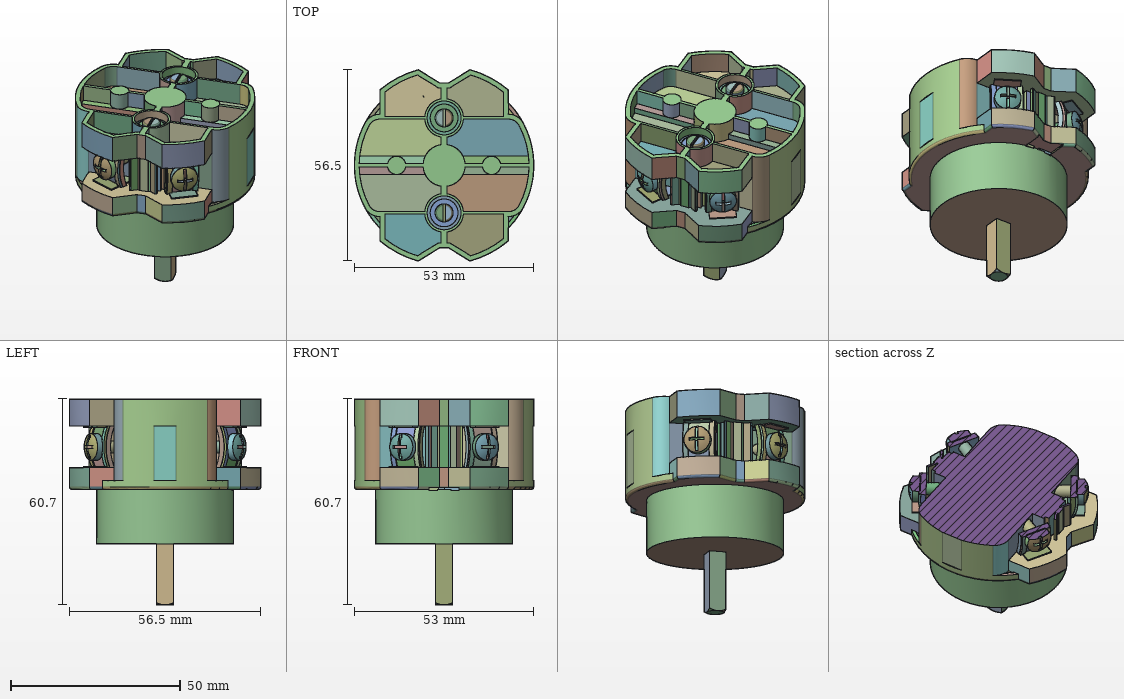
import cadquery as cq
import math

HOUSING_H = 26.7
COLLAR_H = 16.0
SHAFT_L = 18.0
BASE_H = 2.6
CHAMBER_BOTTOM = 6.45
UPPER_LOBE_H = 8.0
CHAMBER_TOP = HOUSING_H - UPPER_LOBE_H
CHAMBER_MID = (CHAMBER_BOTTOM + CHAMBER_TOP) / 2
CHAMBER_H = CHAMBER_TOP - CHAMBER_BOTTOM

BODY_R = 26.5
BODY_HALF_Y = 15.1
BODY_CORNER_R = 5.0
LOBE_R = 29.25
LOBE_HALF_X = 18.95
LOBE_TIP_Y = 28.24
LOBE_TIP_X = math.sqrt(LOBE_R ** 2 - LOBE_TIP_Y ** 2)
NOTCH_HALF_X = 1.33
NOTCH_Y = 24.35
FLARE = (LOBE_TIP_Y - NOTCH_Y) / (LOBE_TIP_X - NOTCH_HALF_X)
BOTTOM_FILLET = 0.75
LEDGE_R = 25.4
LEDGE_DEPTH = 0.3
SIDE_FLAT_X = 26.3

WALL = 1.45
CAVITY_DEPTH = 6.6
CROSS_WALL_OUTER_Y = 14.4
RIB_HALF_X = 0.9
RIB_HALF_Y = 0.5
STEP_HALF_Y = 2.75
STEP_H = 1.8
CENTRE_BOSS_R = 6.2
POST_R = 2.7
POST_X = 14.0
SCREW_BOSS_R = 5.7
SCREW_BOSS_Y = 14.0
SCREW_BORE_R = 5.0
SCREW_BORE_DEPTH = 2.6
WASHER_R = 4.1
WASHER_T = 0.3
HEAD_R = 2.66
HEAD_DROP = 0.8
HEAD_EDGE = 0.4
HEAD_SLOT_W = 0.7
HEAD_SLOT_DEPTH = 0.8

COLLAR_R = 20.25
SHAFT_W = 5.1
SHAFT_TIP_R = 2.6
SHAFT_TIP_H = 0.6

TERMINAL_ANGLES = (60, 120, 240, 300)
TERMINAL_START = 14.0
SHANK_R = 1.8
CAP_BACK = 23.6
CAP_FRONT = 25.3
CAP_APEX = 26.6
CAP_R = 3.95
CAP_DOME_R = (CAP_R ** 2 + (CAP_APEX - CAP_FRONT) ** 2) / (2 * (CAP_APEX - CAP_FRONT))
CAP_SLOT_W = 0.8
LONG_SLOT_FLOOR = 25.6
SHORT_SLOT_FLOOR = 25.3
SHORT_SLOT_L = 4.5
CLAMP_W = 9.4
CLAMP_SAG = 1.3
CLAMP_T = 0.7
CLAMP_GROOVE_W = 6.3
CLAMP_GROOVE_DEPTH = 0.4
BACKING_W = 9.8
BACKING_T = 1.5
PAD_W = 8.0
PAD_END = 25.5
PAD_T = 0.35

DIVIDER_Y = 21.4
DIVIDER_HALF_X = 4.15
DIVIDER_T = 0.8
DIVIDER_TIP_W = 0.45
DIVIDER_SHOULDER_X = 1.95
DIVIDER_PANEL_T = 0.3
DIVIDER_FEET = ((5.45, 19.0), (4.65, 20.3))

LUG_SPANS = ((-4.45, -1.6), (0.1, 4.45))
LUG_Y = 20.15
LUG_ROOT_Y = 15.0
LUG_DROP = 0.3
LUG_RELIEF_H = 0.55
LUG_RELIEF_Y = 19.0


def disc(radius, z0, z1, x=0, y=0):
    return cq.Workplane("XY", origin=(x, y, z0)).circle(radius).extrude(z1 - z0)


def block(x0, x1, y0, y1, z0, z1):
    corner = cq.Workplane("XY", origin=(x0, y0, z0))
    return corner.box(x1 - x0, y1 - y0, z1 - z0, centered=False)


def centred_block(half_x, half_y, z0, z1):
    return block(-half_x, half_x, -half_y, half_y, z0, z1)


def with_opposite(shape):
    """Shape plus its mirror image on the other side of the XZ plane."""
    return shape.union(shape.mirror("XZ"))


def lobes(inset, z0, z1):
    """Four lobes: a wide disc trimmed at the sides and notched front and back."""
    solid = disc(LOBE_R - inset, z0, z1)
    solid = solid.intersect(centred_block(LOBE_HALF_X - inset, LOBE_R, z0, z1))
    return solid.cut(notches(inset, z0, z1))


def notches(inset, z0, z1):
    """V-notches with a flat root; the inset moves each wall squarely into the lobes."""
    root_y = NOTCH_Y - inset
    mouth_y = 2 * LOBE_R
    mouth_x = NOTCH_HALF_X + (mouth_y - NOTCH_Y) / FLARE
    shift = inset * (math.hypot(1, FLARE) - 1) / FLARE
    root_x = NOTCH_HALF_X + shift
    half_outline = [(root_x, root_y), (mouth_x + shift, mouth_y - inset)]
    outline = half_outline + [(-x, y) for x, y in reversed(half_outline)]
    return with_opposite(cq.Workplane("XY", origin=(0, 0, z0)).polyline(outline).close().extrude(z1 - z0))


def body(inset, z0, z1):
    """Round body with flats front and back and rounded corners."""
    solid = disc(BODY_R - inset, z0, z1)
    solid = solid.intersect(centred_block(BODY_R, BODY_HALF_Y - inset, z0, z1))
    return solid.edges("|Z").fillet(BODY_CORNER_R - inset)


def housing():
    lower = disc(BODY_R, 0, BASE_H).cut(notches(0, 0, BASE_H)).union(lobes(0, 0, BASE_H))
    lower = lower.faces("<Z").edges().fillet(BOTTOM_FILLET)
    lower = lower.cut(disc(LEDGE_R, BASE_H - LEDGE_DEPTH, BASE_H))
    solid = lower.union(lobes(0, BASE_H - LEDGE_DEPTH, CHAMBER_BOTTOM))
    solid = solid.union(lobes(0, CHAMBER_TOP, HOUSING_H))
    solid = solid.union(body(0, BASE_H - LEDGE_DEPTH, HOUSING_H))
    for side in (-1, 1):
        x0, x1 = sorted((side * SIDE_FLAT_X, side * BODY_R))
        solid = solid.cut(block(x0, x1, -BODY_HALF_Y, BODY_HALF_Y, BASE_H, CHAMBER_TOP))
    return solid


def top_cavity():
    """Everything removed from the top, leaving ribs and bosses standing."""
    top = HOUSING_H
    floor = top - CAVITY_DEPTH
    outer = lobes(WALL, floor, top)
    outer = outer.cut(centred_block(BODY_R, CROSS_WALL_OUTER_Y, floor, top))
    cavity = body(WALL, floor, top).union(outer)
    cavity = cavity.cut(centred_block(RIB_HALF_X, LOBE_R, floor, top))
    cavity = cavity.cut(centred_block(BODY_R, RIB_HALF_Y, floor, top))
    cavity = cavity.cut(centred_block(BODY_R, STEP_HALF_Y, floor, floor + STEP_H))
    cavity = cavity.cut(disc(CENTRE_BOSS_R, floor, top))
    for side in (-1, 1):
        cavity = cavity.cut(disc(POST_R, floor, top, x=side * POST_X))
        cavity = cavity.cut(disc(SCREW_BOSS_R, floor, top, y=side * SCREW_BOSS_Y))
    return cavity


def assembly_screw_pocket(y):
    """Bore around a slotted screw head that stands on a washer."""
    bore_floor = HOUSING_H - SCREW_BORE_DEPTH
    head_top = HOUSING_H - HEAD_DROP
    head = disc(HEAD_R, bore_floor, head_top, y=y).faces(">Z").edges().fillet(HEAD_EDGE)
    slot = block(-HEAD_SLOT_W / 2, HEAD_SLOT_W / 2, y - HEAD_R, y + HEAD_R,
                 head_top - HEAD_SLOT_DEPTH, head_top)
    washer = disc(WASHER_R, bore_floor, bore_floor + WASHER_T, y=y)
    return disc(SCREW_BORE_R, bore_floor, HOUSING_H, y=y).cut(washer).cut(head.cut(slot))


def curved_plate(front, width, thickness):
    """Plate filling the chamber height, bowed outward at mid height."""
    half_h = CHAMBER_H / 2
    edge = front - CLAMP_SAG
    profile = (
        cq.Workplane("XZ", origin=(0, width / 2, CHAMBER_MID))
        .moveTo(edge, -half_h)
        .threePointArc((front, 0), (edge, half_h))
        .lineTo(edge - thickness, half_h)
        .threePointArc((front - thickness, 0), (edge - thickness, -half_h))
        .close()
    )
    return profile.extrude(width)


def cap_screw():
    """Domed, cross-slotted screw along +X with its shank reaching into the body."""
    cap_seat = CAP_BACK - CLAMP_GROOVE_DEPTH
    dome_half_angle = math.asin(CAP_R / CAP_DOME_R) / 2
    dome_mid_r = CAP_DOME_R * math.sin(dome_half_angle)
    dome_mid_x = CAP_APEX - CAP_DOME_R * (1 - math.cos(dome_half_angle))
    screw = (
        cq.Workplane("XY")
        .moveTo(TERMINAL_START, 0)
        .lineTo(TERMINAL_START, SHANK_R)
        .lineTo(cap_seat, SHANK_R)
        .lineTo(cap_seat, CAP_R)
        .lineTo(CAP_FRONT, CAP_R)
        .threePointArc((dome_mid_x, dome_mid_r), (CAP_APEX, 0))
        .close()
        .revolve(360, (0, 0, 0), (1, 0, 0))
    )
    half_w = CAP_SLOT_W / 2
    slot_top = CAP_FRONT + CAP_R
    screw = screw.cut(block(LONG_SLOT_FLOOR, slot_top, -half_w, half_w, -CAP_R, CAP_R))
    half_l = SHORT_SLOT_L / 2
    screw = screw.cut(block(SHORT_SLOT_FLOOR, slot_top, -half_l, half_l, -half_w, half_w))
    return screw.translate((0, 0, CHAMBER_MID))


def terminal():
    clamp = curved_plate(CAP_BACK, CLAMP_W, CLAMP_T)
    clamp = clamp.cut(curved_plate(CAP_BACK, CLAMP_GROOVE_W, CLAMP_GROOVE_DEPTH))
    unit = cap_screw().union(clamp)
    unit = unit.union(curved_plate(CAP_BACK - CLAMP_T, BACKING_W, BACKING_T))
    for z0 in (CHAMBER_BOTTOM, CHAMBER_TOP - PAD_T):
        unit = unit.union(block(TERMINAL_START, PAD_END, -PAD_W / 2, PAD_W / 2, z0, z0 + PAD_T))
    return unit


def divider():
    """Flared wall in the +Y chamber with stepped feet joining it to the body."""
    wing_x = DIVIDER_HALF_X - DIVIDER_TIP_W
    wing_y = DIVIDER_Y + (wing_x - DIVIDER_SHOULDER_X) * FLARE
    half_outline = [
        (DIVIDER_SHOULDER_X, DIVIDER_Y), (wing_x, wing_y), (DIVIDER_HALF_X, wing_y),
        (DIVIDER_HALF_X, wing_y - DIVIDER_T), (DIVIDER_SHOULDER_X, DIVIDER_Y - DIVIDER_T),
    ]
    outline = half_outline + [(-x, y) for x, y in reversed(half_outline)]
    solid = cq.Workplane("XY", origin=(0, 0, CHAMBER_BOTTOM)).polyline(outline).close().extrude(CHAMBER_H)
    panel = (NOTCH_HALF_X, DIVIDER_Y + DIVIDER_PANEL_T)
    for half_x, outer_y in DIVIDER_FEET + (panel,):
        solid = solid.union(block(-half_x, half_x, TERMINAL_START, outer_y, CHAMBER_BOTTOM, CHAMBER_TOP))
    return solid


def lug_relief():
    """Shallow relief in the underside, open to the front notch."""
    half_x = max(x1 for x0, x1 in LUG_SPANS)
    return block(-half_x, half_x, -LOBE_R, -LUG_RELIEF_Y, 0, LUG_RELIEF_H)


def lugs():
    solid = cq.Workplane("XY")
    for x0, x1 in LUG_SPANS:
        solid = solid.union(block(x0, x1, -LUG_Y, -LUG_ROOT_Y, -LUG_DROP, LUG_RELIEF_H))
    return solid


def collar_and_shaft():
    shaft_end = -COLLAR_H - SHAFT_L
    shaft = centred_block(SHAFT_W / 2, SHAFT_W / 2, shaft_end, 0)
    corner_r = SHAFT_W / math.sqrt(2)
    envelope = disc(corner_r, shaft_end, 0).faces("<Z").edges().chamfer(SHAFT_TIP_H, corner_r - SHAFT_TIP_R)
    return disc(COLLAR_R, -COLLAR_H, 0).union(shaft.intersect(envelope))


result = housing().cut(top_cavity())
for screw_y in (-SCREW_BOSS_Y, SCREW_BOSS_Y):
    result = result.cut(assembly_screw_pocket(screw_y))
result = result.union(with_opposite(divider()))
for angle in TERMINAL_ANGLES:
    result = result.union(terminal().rotate((0, 0, 0), (0, 0, 1), angle))
result = result.cut(lug_relief()).union(lugs())
result = result.union(collar_and_shaft())